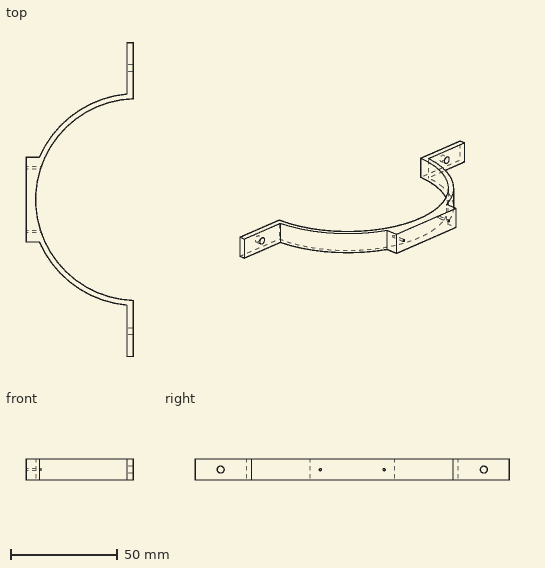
import cadquery as cq
import math

height = 10.0
overall_length = 148.0
overall_depth = 50.45

outer_radius = 50.0
band_thickness = 2.5
inner_radius = outer_radius - band_thickness

pad_length = 40.0
pad_rise = 2.0
pad_face_x = -(outer_radius + pad_rise)

flange_thickness = 3.0
mount_face_x = pad_face_x + overall_depth
flange_front_x = mount_face_x - flange_thickness

flange_hole_diameter = 3.2
flange_hole_offset = 62.0
pad_hole_diameter = 1.0
pad_hole_offset = 15.0


def y_on_circle(radius, x):
    """Positive Y of the point at x on a circle about the Z axis."""
    return math.sqrt(radius**2 - x**2)


def x_on_circle(radius, y):
    """Negative X of the point at y on a circle about the Z axis."""
    return -math.sqrt(radius**2 - y**2)


def arc_midpoint(radius, start, end):
    """Point halfway along the arc between two points on a circle about the Z axis."""
    angle = (math.atan2(start[1], start[0]) + math.atan2(end[1], end[0])) / 2
    return (radius * math.cos(angle), radius * math.sin(angle))


def clamp_body():
    """Band, pad and flanges as one extruded outline, mirrored about the XZ plane."""
    half_length = overall_length / 2
    half_pad = pad_length / 2
    inner_crown = (-inner_radius, 0)
    inner_end = (mount_face_x, y_on_circle(inner_radius, mount_face_x))
    outer_end = (flange_front_x, y_on_circle(outer_radius, flange_front_x))
    pad_corner = (x_on_circle(outer_radius, half_pad), half_pad)
    half = (
        cq.Workplane("XY")
        .moveTo(*inner_crown)
        .threePointArc(arc_midpoint(inner_radius, inner_crown, inner_end), inner_end)
        .lineTo(mount_face_x, half_length)
        .lineTo(flange_front_x, half_length)
        .lineTo(*outer_end)
        .threePointArc(arc_midpoint(outer_radius, outer_end, pad_corner), pad_corner)
        .lineTo(pad_face_x, half_pad)
        .lineTo(pad_face_x, 0)
        .close()
        .extrude(height)
    )
    return half.union(half.mirror("XZ")).clean()


def hole_pair(diameter, offset):
    """Two drills along X through the full depth, at +offset and -offset in Y."""
    return (
        cq.Workplane("YZ", origin=(pad_face_x, 0, height / 2))
        .pushPoints([(-offset, 0), (offset, 0)])
        .circle(diameter / 2)
        .extrude(overall_depth)
    )


result = (
    clamp_body()
    .cut(hole_pair(flange_hole_diameter, flange_hole_offset))
    .cut(hole_pair(pad_hole_diameter, pad_hole_offset))
)